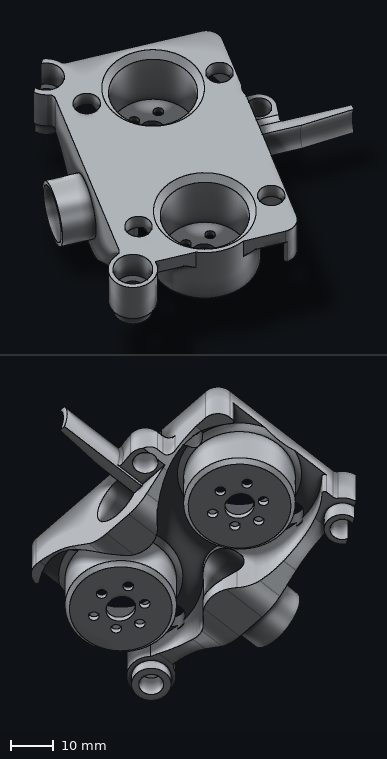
import cadquery as cq
import math


plate_left = -33.9
plate_right = 31.9
plate_front = -22.8
plate_rear = 20.1
plate_corner_radius = 4.0
plate_thickness = 3.95
skirt_depth = 10.9

belly_depth = 23.0
belly_flat_half = 3.8
belly_angle = math.radians(40)
belly_outer_radius = 9.4
belly_line_end = 15.4
belly_inner_radius = 24.3

cup_half_spacing = 20.2
cup_places = (-cup_half_spacing, cup_half_spacing)
cup_outer_radius = 13.1
cup_bore_radius = 10.4
cup_depth = 17.1
cup_floor = 1.5
cup_rim_bevel = 1.6
cup_bottom_chamfer = 1.1
cup_root_flare = 1.45
floor_opening_half_x = 3.65
floor_opening_half_y = 3.3
floor_hole_radius = 1.2
floor_hole_places = [(0, 6.15), (-5.85, 3.1), (5.85, 3.1), (-4.9, -3.1), (4.9, -3.1), (0, -6.15)]

hollow_radius = 19.3
hollow_neck_radius = 7.75
hollow_edge_round = 0.6

plate_hole_radius = 3.2
plate_hole_offset = 16.3
plate_hole_depth = plate_thickness + cup_root_flare

tube_depth = 12.15
tube_outer_radius = 8.0
tube_bore_radius = 6.9
tube_end = -31.0

boss_hole_radius = 2.9
boss_counterbore_depth = 7.4
boss_blend_radius = 1.75
right_boss_place = (32.6, -21.5)
right_boss_radius = 5.8
right_boss_seat_radius = 4.6
right_boss_depth = 14.05
left_boss_place = (-31.1, -22.8)
left_boss_radius = 5.7
left_boss_seat_radius = 4.25
left_boss_depth = 15.6
left_boss_side_blend = 1.3
left_boss_cut_distance = 2.0
left_boss_cut_angle = -28.6

blade_outer_radius = 9.2
blade_half_height = 4.1
blade_edge_x = -math.sqrt(blade_outer_radius**2 - blade_half_height**2)
blade_end = 45.0
blade_flare_start = 31.9
blade_flare_radius = 7.8

ear_place = (-13.3, 23.8)
ear_radius = 4.25
ear_hole_radius = 3.0
ear_head_radius = 4.0
ear_top_depth = 7.4
ear_bottom_depth = 15.65
ear_blend_radius = 2.0
ear_slope_angle = math.radians(8)
ear_ramp_width = 1.5
ear_root_radius = 0.6


def cylinder(place, radius, top, bottom):
    """Upright cylinder between two heights."""
    return cq.Workplane("XY", origin=(*place, bottom)).circle(radius).extrude(top - bottom)


def axial_rod(radius, start, end):
    """Cylinder along Y on the tube axis."""
    return cq.Workplane("XZ", origin=(0, start, -tube_depth)).circle(radius).extrude(start - end)


def belly_prism(rear):
    """Outline of plate, skirt and belly in XZ, extruded from the plate front back to a rear place."""
    sin_full = math.sin(belly_angle)
    cos_full = math.cos(belly_angle)
    sin_half = math.sin(belly_angle / 2)
    cos_half = math.cos(belly_angle / 2)
    outer_mid = (
        belly_flat_half + belly_outer_radius * sin_half,
        -belly_depth + belly_outer_radius * (1 - cos_half),
    )
    outer_end = (
        belly_flat_half + belly_outer_radius * sin_full,
        -belly_depth + belly_outer_radius * (1 - cos_full),
    )
    line_end = (
        belly_line_end,
        outer_end[1] + (belly_line_end - outer_end[0]) * math.tan(belly_angle),
    )
    arc_x = belly_line_end + belly_inner_radius * sin_full
    arc_z = line_end[1] - belly_inner_radius * cos_full
    skirt_x = arc_x - math.sqrt(belly_inner_radius**2 - (-skirt_depth - arc_z) ** 2)
    mid_x = (line_end[0] + skirt_x) / 2
    inner_mid = (mid_x, arc_z + math.sqrt(belly_inner_radius**2 - (arc_x - mid_x) ** 2))

    def mirrored(point):
        return (-point[0], point[1])

    outline = (
        cq.Workplane("XZ", origin=(0, rear, 0))
        .moveTo(plate_left, 0)
        .lineTo(plate_left, -skirt_depth)
        .lineTo(-skirt_x, -skirt_depth)
        .threePointArc(mirrored(inner_mid), mirrored(line_end))
        .lineTo(*mirrored(outer_end))
        .threePointArc(mirrored(outer_mid), (-belly_flat_half, -belly_depth))
        .lineTo(belly_flat_half, -belly_depth)
        .threePointArc(outer_mid, outer_end)
        .lineTo(*line_end)
        .threePointArc(inner_mid, (skirt_x, -skirt_depth))
        .lineTo(plate_right, -skirt_depth)
        .lineTo(plate_right, 0)
        .close()
    )
    return outline.extrude(rear - plate_front)


def plate_prism(depth):
    """Plate outline with rounded rear corners."""
    return (
        cq.Workplane("XY")
        .moveTo(plate_left, plate_front)
        .lineTo(plate_right, plate_front)
        .lineTo(plate_right, plate_rear)
        .lineTo(plate_left, plate_rear)
        .close()
        .extrude(-depth)
        .edges("|Z and >Y")
        .fillet(plate_corner_radius)
    )


def hollow():
    """Two rounds joined by a waist, as deep as the belly."""
    reach = hollow_radius + hollow_neck_radius
    neck_y = math.sqrt(reach**2 - cup_half_spacing**2)
    touch_x = cup_half_spacing * hollow_neck_radius / reach
    touch_y = neck_y * hollow_radius / reach
    waist_y = neck_y - hollow_neck_radius
    waist = (
        cq.Workplane("XY", origin=(0, 0, -belly_depth))
        .moveTo(-cup_half_spacing, 0)
        .lineTo(-touch_x, touch_y)
        .threePointArc((0, waist_y), (touch_x, touch_y))
        .lineTo(cup_half_spacing, 0)
        .lineTo(touch_x, -touch_y)
        .threePointArc((0, -waist_y), (-touch_x, -touch_y))
        .close()
        .extrude(belly_depth)
    )
    rounds = [cylinder((x, 0), hollow_radius, 0, -belly_depth) for x in cup_places]
    return waist.union(rounds[0]).union(rounds[1])


def walled_plate():
    walls = plate_prism(belly_depth).cut(hollow())
    for x in (plate_left, plate_right):
        break_y = math.sqrt(hollow_radius**2 - (abs(x) - cup_half_spacing) ** 2)
        for y in (-break_y, break_y):
            edge = walls.edges(cq.selectors.NearestToPointSelector((x, y, -belly_depth / 2)))
            walls = edge.fillet(hollow_edge_round)
    body = walls.union(plate_prism(plate_thickness))
    return body.intersect(belly_prism(plate_rear))


def cup_outside(x):
    wall = cylinder((x, 0), cup_outer_radius, 0, -cup_depth).faces("<Z").chamfer(cup_bottom_chamfer)
    flare = cq.Workplane(
        cq.Solid.makeCone(
            cup_outer_radius + cup_root_flare,
            cup_outer_radius,
            cup_root_flare,
            pnt=cq.Vector(x, 0, -plate_thickness),
            dir=cq.Vector(0, 0, -1),
        )
    )
    return wall.union(flare.intersect(plate_prism(belly_depth)))


def cup_inside(x):
    bore = cylinder((x, 0), cup_bore_radius, 0, cup_floor - cup_depth)
    bevel = cq.Workplane(
        cq.Solid.makeCone(
            cup_bore_radius + cup_rim_bevel,
            cup_bore_radius,
            cup_rim_bevel,
            pnt=cq.Vector(x, 0, 0),
            dir=cq.Vector(0, 0, -1),
        )
    )
    floor = cq.Workplane("XY", origin=(x, 0, -cup_depth))
    opening = floor.ellipse(floor_opening_half_x, floor_opening_half_y).extrude(cup_depth)
    holes = floor.pushPoints(floor_hole_places).circle(floor_hole_radius).extrude(cup_depth)
    return bore.union(bevel).union(opening).union(holes)


def boss_outside(place, radius, seat_radius, depth):
    neck = cylinder(place, seat_radius, -skirt_depth, -depth)
    return cylinder(place, radius, 0, -skirt_depth).union(neck)


def boss_inside(place, seat_radius, depth):
    seat = cylinder(place, seat_radius, 0, -boss_counterbore_depth)
    return seat.union(cylinder(place, boss_hole_radius, 0, -depth))


def front_blend(place, radius, side):
    """Concave web between a boss and the plate front; side points from the boss along the plate."""
    blend_y = plate_front - boss_blend_radius
    reach = radius + boss_blend_radius
    blend_x = place[0] + side * math.sqrt(reach**2 - (blend_y - place[1]) ** 2)
    web = (
        cq.Workplane("XY")
        .moveTo(blend_x, plate_front)
        .lineTo(*place)
        .lineTo(blend_x, blend_y)
        .close()
        .extrude(-skirt_depth)
    )
    return web.cut(cylinder((blend_x, blend_y), boss_blend_radius, 0, -skirt_depth))


def left_side_blend():
    """Concave web between the left boss and the left side of the plate."""
    blend_x = plate_left - left_boss_side_blend
    reach = left_boss_radius + left_boss_side_blend
    blend_y = left_boss_place[1] + math.sqrt(reach**2 - (blend_x - left_boss_place[0]) ** 2)
    web = (
        cq.Workplane("XY")
        .moveTo(plate_left, blend_y)
        .lineTo(*left_boss_place)
        .lineTo(blend_x, blend_y)
        .close()
        .extrude(-skirt_depth)
    )
    return web.cut(cylinder((blend_x, blend_y), left_boss_side_blend, 0, -skirt_depth))


def left_boss_cutoff():
    """Block that slices the outer side off the left boss."""
    size = 4 * left_boss_radius
    return (
        cq.Workplane("XY")
        .box(size, size, 2 * belly_depth)
        .translate((0, -size / 2 - left_boss_cut_distance, 0))
        .rotate((0, 0, 0), (0, 0, 1), left_boss_cut_angle)
        .translate((*left_boss_place, 0))
    )


def blade():
    length = blade_end - plate_rear
    band = cq.Workplane("XY").box(
        blade_outer_radius, length, 2 * blade_half_height, centered=(False, False, True)
    ).translate((-blade_outer_radius, plate_rear, -tube_depth))
    flare = cq.Workplane(
        cq.Solid.makeCone(
            tube_bore_radius,
            blade_flare_radius,
            blade_end - blade_flare_start,
            pnt=cq.Vector(0, blade_flare_start, -tube_depth),
            dir=cq.Vector(0, 1, 0),
        )
    )
    sector = axial_rod(blade_outer_radius, plate_rear, blade_end).intersect(band)
    return sector.cut(axial_rod(tube_bore_radius, plate_rear, blade_end)).cut(flare)


def ear():
    x, y = ear_place
    left = x - ear_radius
    right = blade_edge_x
    slope_start = (x + ear_radius * math.sin(ear_slope_angle), y + ear_radius * math.cos(ear_slope_angle))
    slope_end_y = slope_start[1] - (right - slope_start[0]) * math.tan(ear_slope_angle)
    diagonal = ear_radius * math.sqrt(0.5)
    blend_end = (left, plate_rear + ear_blend_radius)
    blend_inset = ear_blend_radius * (1 - math.sqrt(0.5))
    outline = (
        cq.Workplane("XY", origin=(0, 0, -belly_depth))
        .moveTo(left - ear_blend_radius, plate_rear)
        .threePointArc((left - blend_inset, plate_rear + blend_inset), blend_end)
        .lineTo(left, y)
        .threePointArc((x - diagonal, y + diagonal), slope_start)
        .lineTo(right, slope_end_y)
        .lineTo(right, plate_rear)
        .close()
        .extrude(belly_depth)
    )
    blade_top = blade_half_height - tube_depth
    side = (
        cq.Workplane("XZ", origin=(0, plate_rear, 0))
        .moveTo(plate_left, -ear_top_depth)
        .lineTo(right - ear_ramp_width, -ear_top_depth)
        .lineTo(right, blade_top)
        .lineTo(right, -ear_bottom_depth)
        .lineTo(plate_left, -ear_bottom_depth)
        .close()
        .extrude(plate_rear - blade_end)
    )
    return outline.intersect(side).intersect(belly_prism(blade_end))


def blade_with_ear():
    joined = blade().union(ear())
    root_place = (-blade_outer_radius, ear_place[1] + ear_radius, -tube_depth)
    root = joined.edges(cq.selectors.NearestToPointSelector(root_place))
    return root.fillet(ear_root_radius)


result = walled_plate()
for cup_x in cup_places:
    result = result.union(cup_outside(cup_x))
right_boss = boss_outside(right_boss_place, right_boss_radius, right_boss_seat_radius, right_boss_depth)
result = result.union(right_boss)
left_boss = boss_outside(left_boss_place, left_boss_radius, left_boss_seat_radius, left_boss_depth)
result = result.union(left_boss)
result = result.union(front_blend(right_boss_place, right_boss_radius, -1))
result = result.union(front_blend(left_boss_place, left_boss_radius, 1))
result = result.union(left_side_blend())
result = result.union(axial_rod(tube_outer_radius, plate_front, tube_end))
result = result.union(blade_with_ear())

for cup_x in cup_places:
    result = result.cut(cup_inside(cup_x))
    for hole_y in (-plate_hole_offset, plate_hole_offset):
        result = result.cut(cylinder((cup_x, hole_y), plate_hole_radius, 0, -plate_hole_depth))
result = result.cut(boss_inside(right_boss_place, right_boss_seat_radius, right_boss_depth))
result = result.cut(boss_inside(left_boss_place, left_boss_seat_radius, left_boss_depth))
result = result.cut(left_boss_cutoff())
result = result.cut(axial_rod(tube_bore_radius, tube_end, plate_rear))
result = result.cut(cylinder(ear_place, ear_head_radius, 0, -ear_top_depth))
result = result.cut(cylinder(ear_place, ear_hole_radius, -ear_top_depth, -belly_depth))